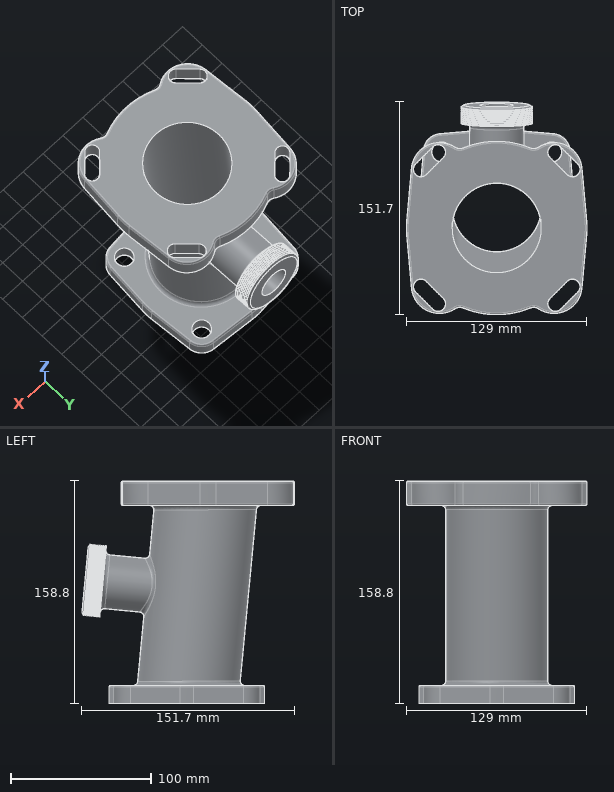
import cadquery as cq
import math

HEIGHT = 158.8
TILT = 5.4
TUBE_RADIUS = 36.5
BORE_RADIUS = 31.8
ROOT_FILLET = 3.0
EDGE_FILLET = 1.3

BOTTOM_THICKNESS = 13.0
BOTTOM_SIDE_RADIUS = 55.5
BOTTOM_CORNER_RADIUS = 13.2
BOTTOM_CORNER_OFFSET = 39.2
BOLT_HOLE_DIAMETER = 14.0

TOP_THICKNESS = 17.5
TOP_SIDE_RADIUS = 64.5
TOP_BULGE_RADIUS = 61.9
TOP_CORNER_RADIUS = 20.2
TOP_CORNER_OFFSET = 40.8
TOP_NOTCH_RADIUS = 6.2
SLOT_WIDTH = 10.6
SLOT_CENTRE_LENGTH = 17.1
SLOT_CIRCLE_RADIUS = 67.8

BRANCH_HEIGHT = 80.8
BRANCH_LENGTH = 80.6
NECK_RADIUS = 19.4
BRANCH_BORE_RADIUS = 11.7
COLLAR_RADIUS = 25.5
COLLAR_LENGTH = 13.0
COLLAR_CHAMFER = 1.3
COLLAR_CHAMFER_RADIAL = 2.2
COLLAR_FLAT = 0.6
GROOVE_COUNT = 8
GROOVE_DEPTH = 0.8

CORNER_SIGNS = [(1, 1), (-1, 1), (-1, -1), (1, -1)]

tilt = math.radians(TILT)
top_offset = -HEIGHT * math.tan(tilt)
axis_direction = cq.Vector(0, -math.sin(tilt), math.cos(tilt))
branch_direction = cq.Vector(0, math.cos(tilt), math.sin(tilt))


def axis_point(z):
    """Point on the tilted tube axis at height z."""
    return cq.Vector(0, -z * math.tan(tilt), z)


def tilted_cylinder(radius, z_start, z_end):
    start = axis_point(z_start)
    length = (axis_point(z_end) - start).Length
    return cq.Workplane(obj=cq.Solid.makeCylinder(radius, length, start, axis_direction))


def polar(radius, angle, centre=(0, 0)):
    return (centre[0] + radius * math.cos(angle), centre[1] + radius * math.sin(angle))


def side_tangent_angle(side_radius, corner_radius, corner_offset):
    """Angle from the side's middle at which the side arc runs into the straight to the corner."""
    spacing = corner_offset * math.sqrt(2)
    return math.pi / 4 - math.acos((side_radius - corner_radius) / spacing)


def bottom_flange():
    """Four side arcs and four corner arcs joined by their tangent lines."""
    tangent = side_tangent_angle(BOTTOM_SIDE_RADIUS, BOTTOM_CORNER_RADIUS, BOTTOM_CORNER_OFFSET)
    outline = cq.Workplane("XY").moveTo(*polar(BOTTOM_SIDE_RADIUS, -tangent))
    for index, (sign_x, sign_y) in enumerate(CORNER_SIGNS):
        middle = index * math.pi / 2
        centre = (sign_x * BOTTOM_CORNER_OFFSET, sign_y * BOTTOM_CORNER_OFFSET)
        outline = outline.threePointArc(
            polar(BOTTOM_SIDE_RADIUS, middle), polar(BOTTOM_SIDE_RADIUS, middle + tangent)
        )
        outline = outline.lineTo(*polar(BOTTOM_CORNER_RADIUS, middle + tangent, centre))
        outline = outline.threePointArc(
            polar(BOTTOM_CORNER_RADIUS, middle + math.pi / 4, centre),
            polar(BOTTOM_CORNER_RADIUS, middle + math.pi / 2 - tangent, centre),
        )
        outline = outline.lineTo(*polar(BOTTOM_SIDE_RADIUS, middle + math.pi / 2 - tangent))
    plate = outline.close().extrude(BOTTOM_THICKNESS).faces(">Z").edges().fillet(EDGE_FILLET)
    bolt_holes = (
        cq.Workplane("XY")
        .rect(2 * BOTTOM_CORNER_OFFSET, 2 * BOTTOM_CORNER_OFFSET, forConstruction=True)
        .vertices()
        .circle(BOLT_HOLE_DIAMETER / 2)
        .extrude(BOTTOM_THICKNESS)
    )
    return plate.cut(bolt_holes)


def notch_centre():
    """Centre of the hollow that touches the bulge and the +X +Y ear from outside."""
    to_bulge = TOP_BULGE_RADIUS + TOP_NOTCH_RADIUS
    to_corner = TOP_CORNER_RADIUS + TOP_NOTCH_RADIUS
    spacing = TOP_CORNER_OFFSET * math.sqrt(2)
    cosine = (to_bulge**2 + spacing**2 - to_corner**2) / (2 * to_bulge * spacing)
    return polar(to_bulge, math.pi / 4 + math.acos(cosine))


def top_quarter_points():
    """Outline points of the +X +Y quarter, from the middle of the +X side to the end of the bulge."""
    tangent = side_tangent_angle(TOP_SIDE_RADIUS, TOP_CORNER_RADIUS, TOP_CORNER_OFFSET)
    corner = (TOP_CORNER_OFFSET, TOP_CORNER_OFFSET)
    notch = notch_centre()
    bulge_angle = math.atan2(notch[1], notch[0])
    ear_end = math.atan2(notch[1] - corner[1], notch[0] - corner[0])
    ear_middle = (tangent + ear_end) / 2
    notch_bottom = (bulge_angle + ear_end) / 2 + math.pi
    return [
        polar(TOP_SIDE_RADIUS, 0),
        polar(TOP_SIDE_RADIUS, tangent / 2),
        polar(TOP_SIDE_RADIUS, tangent),
        polar(TOP_CORNER_RADIUS, tangent, corner),
        polar(TOP_CORNER_RADIUS, ear_middle, corner),
        polar(TOP_CORNER_RADIUS, ear_end, corner),
        polar(TOP_NOTCH_RADIUS, notch_bottom, notch),
        polar(TOP_BULGE_RADIUS, bulge_angle),
    ]


def mirrored(points, sign_x, sign_y):
    return [(sign_x * x, sign_y * y) for x, y in points]


def top_flange():
    quarter = top_quarter_points()
    outline = cq.Workplane("XY").moveTo(*quarter[0])
    for sign in (1, -1):
        (_, side_middle, side_end, ear_start, ear_middle, ear_end, notch_bottom,
         bulge_start) = mirrored(quarter, sign, sign)
        outline = (
            outline.threePointArc(side_middle, side_end)
            .lineTo(*ear_start)
            .threePointArc(ear_middle, ear_end)
            .threePointArc(notch_bottom, bulge_start)
        )
        (side_start, side_middle, side_end, ear_start, ear_middle, ear_end, notch_bottom,
         bulge_end) = mirrored(quarter, -sign, sign)
        outline = (
            outline.threePointArc((0, sign * TOP_BULGE_RADIUS), bulge_end)
            .threePointArc(notch_bottom, ear_end)
            .threePointArc(ear_middle, ear_start)
            .lineTo(*side_end)
            .threePointArc(side_middle, side_start)
        )
    plate = outline.close().extrude(TOP_THICKNESS).faces("<Z or >Z").edges().fillet(EDGE_FILLET)
    slots = (
        cq.Workplane("XY")
        .polarArray(SLOT_CIRCLE_RADIUS, 45, 360, len(CORNER_SIGNS))
        .slot2D(SLOT_CENTRE_LENGTH + SLOT_WIDTH, SLOT_WIDTH, 90)
        .extrude(TOP_THICKNESS)
    )
    return plate.cut(slots).translate((0, top_offset, HEIGHT - TOP_THICKNESS))


def branch_cylinder(radius, length):
    """Cylinder from the tube axis outward along the branch."""
    return cq.Workplane(
        obj=cq.Solid.makeCylinder(radius, length, axis_point(BRANCH_HEIGHT), branch_direction)
    )


def collar():
    """Grooved collar with a hollow fillet to the neck, revolved about the branch axis."""
    start = BRANCH_LENGTH - COLLAR_LENGTH
    grooves_start = start + COLLAR_FLAT
    pitch = (COLLAR_LENGTH - COLLAR_FLAT - COLLAR_CHAMFER) / GROOVE_COUNT
    fillet_middle = ROOT_FILLET * (1 - math.sqrt(0.5))

    plane = cq.Plane(origin=axis_point(BRANCH_HEIGHT).toTuple(), xDir=(1, 0, 0),
                     normal=axis_direction.toTuple())
    profile = (
        cq.Workplane(plane)
        .moveTo(0, start - ROOT_FILLET)
        .lineTo(NECK_RADIUS, start - ROOT_FILLET)
        .threePointArc((NECK_RADIUS + fillet_middle, start - fillet_middle),
                       (NECK_RADIUS + ROOT_FILLET, start))
        .lineTo(COLLAR_RADIUS, start)
        .lineTo(COLLAR_RADIUS, grooves_start)
    )
    for index in range(GROOVE_COUNT):
        groove_start = grooves_start + index * pitch
        profile = profile.lineTo(COLLAR_RADIUS - GROOVE_DEPTH, groove_start + pitch / 2)
        profile = profile.lineTo(COLLAR_RADIUS, groove_start + pitch)
    profile = profile.lineTo(COLLAR_RADIUS - COLLAR_CHAMFER_RADIAL, BRANCH_LENGTH).lineTo(0, BRANCH_LENGTH)
    return profile.close().revolve(360, (0, 0), (0, 1))


tube = tilted_cylinder(TUBE_RADIUS, BOTTOM_THICKNESS / 2, HEIGHT - TOP_THICKNESS / 2)
body = bottom_flange().union(tube).union(top_flange()).edges("%ELLIPSE").fillet(ROOT_FILLET)

neck = branch_cylinder(NECK_RADIUS, BRANCH_LENGTH - COLLAR_LENGTH - ROOT_FILLET)
neck_zone = cq.selectors.BoxSelector(
    (-TUBE_RADIUS, 0, BRANCH_HEIGHT - 2 * NECK_RADIUS),
    (TUBE_RADIUS, 2 * TUBE_RADIUS, BRANCH_HEIGHT + 2 * NECK_RADIUS),
)
body = body.union(neck)
body = body.edges(neck_zone).edges("%BSPLINE").fillet(ROOT_FILLET)
body = body.union(collar())

main_bore = tilted_cylinder(BORE_RADIUS, -BOTTOM_THICKNESS, HEIGHT + TOP_THICKNESS)
branch_bore = branch_cylinder(BRANCH_BORE_RADIUS, BRANCH_LENGTH)
result = body.cut(main_bore).cut(branch_bore)